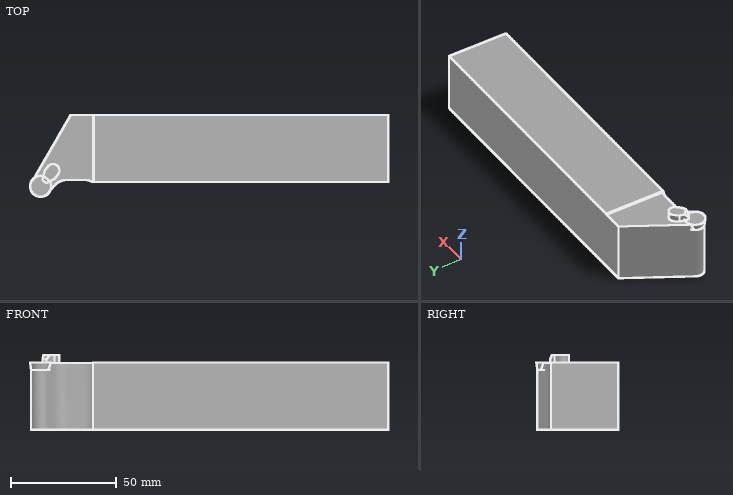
import cadquery as cq
import math

total_length = 170.0
shank_size = 32.0
head_length = 29.7
head_drop = 0.2
ramp_length = 0.5
head_setback = 1.0
runout_radius = 8.0
neck_end_x = 17.5
back_angle = 60.0
neck_angle = 47.0

insert_diameter = 10.0
insert_base_diameter = 9.2
insert_thickness = 3.5
front_overhang = 7.0
insert_radius = insert_diameter / 2
insert_base_radius = insert_base_diameter / 2
insert_x = insert_radius
insert_y = insert_radius - front_overhang

clamp_angle = 52.0
clamp_top = 35.5
clamp_half_width = 3.0
clamp_tip = 2.9
clamp_tip_half_width = 1.2
clamp_shoulder = 7.0
clamp_round_center = 9.5
nose_bevel_start = 4.6
nose_height = 1.4

head_top = shank_size - head_drop
insert_bottom = shank_size - insert_thickness


def post_point(angle):
    """Point on the post beneath the insert, angle in degrees from +X."""
    a = math.radians(angle)
    return (
        insert_x + insert_base_radius * math.cos(a),
        insert_y + insert_base_radius * math.sin(a),
    )


def make_bar():
    """Shank and angled head, with faces tangent to the round post."""
    back_tangent = post_point(back_angle + 90)
    neck_tangent = post_point(neck_angle - 90)
    post_front = post_point((back_angle + neck_angle) / 2 + 180)
    back_slope = math.tan(math.radians(back_angle))
    neck_slope = math.tan(math.radians(neck_angle))
    back_corner_x = back_tangent[0] + (shank_size - back_tangent[1]) / back_slope

    neck_corner_x = neck_tangent[0] + (head_setback - neck_tangent[1]) / neck_slope
    tangent_length = neck_end_x - neck_corner_x
    neck_radius = tangent_length / math.tan(math.radians(neck_angle / 2))
    neck_start = (
        neck_end_x - neck_radius * math.sin(math.radians(neck_angle)),
        head_setback - neck_radius * (1 - math.cos(math.radians(neck_angle))),
    )
    neck_middle = (
        neck_end_x - neck_radius * math.sin(math.radians(neck_angle / 2)),
        head_setback - neck_radius * (1 - math.cos(math.radians(neck_angle / 2))),
    )

    runout_length = math.sqrt(runout_radius**2 - (runout_radius - head_setback) ** 2)
    runout_start = (head_length - runout_length, head_setback)

    return (
        cq.Workplane("XY")
        .moveTo(*back_tangent)
        .threePointArc(post_front, neck_tangent)
        .lineTo(*neck_start)
        .threePointArc(neck_middle, (neck_end_x, head_setback))
        .lineTo(*runout_start)
        .tangentArcPoint((head_length, 0), relative=False)
        .lineTo(total_length, 0)
        .lineTo(total_length, shank_size)
        .lineTo(back_corner_x, shank_size)
        .close()
        .extrude(shank_size)
    )


def make_head_relief():
    """Thin layer above the head, ending in a ramp up to the shank."""
    return (
        cq.Workplane("XZ")
        .moveTo(0, head_top)
        .lineTo(head_length, head_top)
        .lineTo(head_length + ramp_length, shank_size)
        .lineTo(0, shank_size)
        .close()
        .extrude(shank_size, both=True)
    )


def make_insert():
    """Round cutting insert."""
    return (
        cq.Workplane("XY", origin=(insert_x, insert_y, insert_bottom))
        .circle(insert_base_radius)
        .workplane(offset=insert_thickness)
        .circle(insert_radius)
        .loft(ruled=True)
    )


def make_clamp():
    """Round-ended clamp with a tapered, bevelled nose over the insert."""
    blank = (
        cq.Workplane("XY")
        .moveTo(clamp_tip, -clamp_tip_half_width)
        .lineTo(clamp_shoulder, -clamp_half_width)
        .lineTo(clamp_round_center, -clamp_half_width)
        .threePointArc(
            (clamp_round_center + clamp_half_width, 0),
            (clamp_round_center, clamp_half_width),
        )
        .lineTo(clamp_shoulder, clamp_half_width)
        .lineTo(clamp_tip, clamp_tip_half_width)
        .close()
        .extrude(clamp_top - head_top)
        .translate((0, 0, head_top))
    )
    bevel = (
        cq.Workplane("XZ")
        .moveTo(clamp_tip, shank_size + nose_height)
        .lineTo(nose_bevel_start, clamp_top)
        .lineTo(clamp_tip, clamp_top)
        .close()
        .extrude(clamp_half_width, both=True)
    )
    return (
        blank.cut(bevel)
        .rotate((0, 0, 0), (0, 0, 1), clamp_angle)
        .translate((insert_x, insert_y, 0))
    )


insert = make_insert()

holder = make_bar().cut(make_head_relief()).union(make_clamp()).cut(insert)

result = cq.Compound.makeCompound([holder.val(), insert.val()])